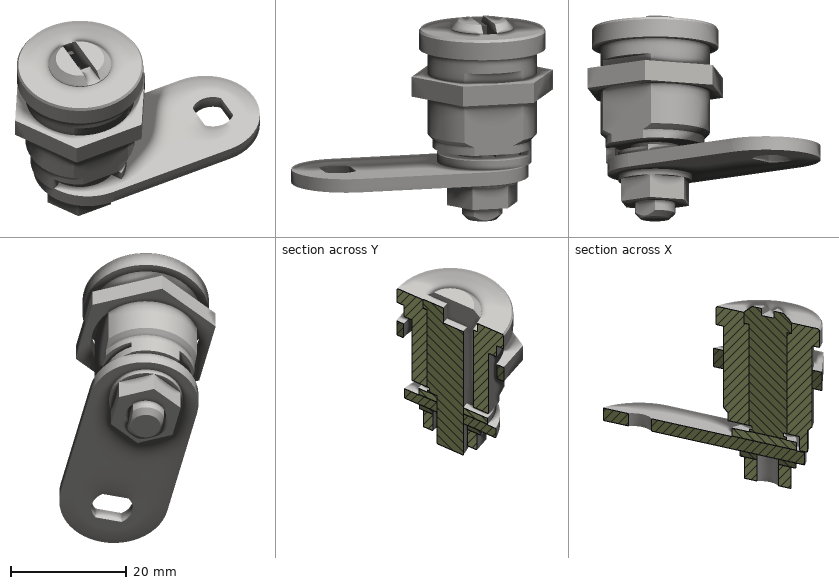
import cadquery as cq
import math


flange_diameter = 22.0
flange_thickness = 3.5
flange_chamfer_width = 0.3
flange_chamfer_height = 0.4
barrel_diameter = 19.0
barrel_flats_width = 15.8
flats_top_z = -2.7
barrel_chamfer = 0.9
barrel_bottom_z = -15.05
skirt_bottom_z = -17.4
skirt_radius = barrel_diameter / 2 - barrel_chamfer
tab_bottom_z = -20.05
tab_inner_radius = 7.0
tab_angle = 60.0

plug_top_z = 4.95
plug_top_radius = 4.2
cone_base_z = 3.65
head_bottom_z = 1.5
head_radius = 5.5
plug_radius = 4.7
neck_radius = 4.3
neck_bottom_z = -18.0
keyway_width = 2.48
keyway_inner_x = -2.7
keyway_step_x = 1.35
keyway_middle_z = 0.0
stud_diameter = 7.0
stud_flats_width = 5.5
stud_chamfer = 0.95

stop_disc_thickness = 1.6
stop_disc_radius = 8.35
stop_disc_offset = 1.0
stop_disc_relief_radius = 6.5
cam_thickness = 2.4
washer_thickness = 1.0
washer_diameter = 12.8
stud_nut_height = 3.95
stud_nut_width = flange_diameter / 2

mounting_nut_width = flange_diameter
mounting_nut_top_z = -4.45
mounting_nut_height = 3.5

cam_top_z = -20.15
cam_width = barrel_diameter
cam_near_center_y = 1.5
cam_tip_y = 34.0
cam_hole_y = 26.0
cam_hole_diameter = 7.2
cam_hole_flats_width = stud_flats_width

overall_height = 35.1
stud_bottom_z = plug_top_z - overall_height
shoulder_z = cam_top_z + stop_disc_thickness
washer_top_z = cam_top_z - cam_thickness
stud_nut_top_z = washer_top_z - washer_thickness
quarter_turn = 90.0
hexagon_sides = 6
cam_travel = quarter_turn
tab_start_angle = -quarter_turn - tab_angle / 2
tab_end_angle = tab_start_angle + tab_angle
relief_end_angle = tab_end_angle + cam_travel


def cylinder(radius, top_z, bottom_z):
    return cq.Workplane("XY", origin=(0, 0, bottom_z)).circle(radius).extrude(top_z - bottom_z)


def box(x_min, x_max, y_min, y_max, z_min, z_max):
    size = (x_max - x_min, y_max - y_min, z_max - z_min)
    return cq.Workplane("XY", origin=(x_min, y_min, z_min)).box(*size, centered=False)


def double_d(diameter, width, top_z, bottom_z):
    """Cylinder with two flats that face -X and +X."""
    slab = box(-width / 2, width / 2, -diameter, diameter, bottom_z, top_z)
    return cylinder(diameter / 2, top_z, bottom_z).intersect(slab)


def hexagon(width, top_z, height):
    """Hexagonal prism with two sides that face -X and +X."""
    corner_diameter = width / math.cos(math.radians(180 / hexagon_sides))
    bottom = cq.Workplane("XY", origin=(0, 0, top_z - height)).transformed(rotate=(0, 0, quarter_turn))
    return bottom.polygon(hexagon_sides, corner_diameter).extrude(height)


def polar(radius, angle):
    return radius * math.cos(math.radians(angle)), radius * math.sin(math.radians(angle))


def ring_sector(inner_radius, outer_radius, start_angle, end_angle, top_z, bottom_z):
    middle_angle = (start_angle + end_angle) / 2
    return (
        cq.Workplane("XY", origin=(0, 0, bottom_z))
        .moveTo(*polar(inner_radius, start_angle))
        .lineTo(*polar(outer_radius, start_angle))
        .threePointArc(polar(outer_radius, middle_angle), polar(outer_radius, end_angle))
        .lineTo(*polar(inner_radius, end_angle))
        .threePointArc(polar(inner_radius, middle_angle), polar(inner_radius, start_angle))
        .close()
        .extrude(top_z - bottom_z)
    )


def revolve_profile(points):
    """Revolve a half section of (radius, z) points about the Z axis."""
    return cq.Workplane("XZ").polyline(points).close().revolve(360, (0, 0, 0), (0, 1, 0))


def make_housing():
    flange_radius = flange_diameter / 2
    barrel_radius = barrel_diameter / 2
    shell = revolve_profile([
        (0, flange_thickness),
        (flange_radius - flange_chamfer_width, flange_thickness),
        (flange_radius, flange_thickness - flange_chamfer_height),
        (flange_radius, 0),
        (barrel_radius, 0),
        (barrel_radius, barrel_bottom_z),
        (skirt_radius, barrel_bottom_z - barrel_chamfer),
        (skirt_radius, tab_bottom_z),
        (0, tab_bottom_z),
    ])
    for side in (-1, 1):
        x_range = sorted((side * barrel_flats_width / 2, side * flange_diameter))
        shell = shell.cut(box(*x_range, -flange_diameter, flange_diameter, tab_bottom_z, flats_top_z))
    beside_tab = ring_sector(
        tab_inner_radius, flange_radius, tab_end_angle, tab_start_angle + 360, skirt_bottom_z, tab_bottom_z
    )
    inside_tab = cylinder(tab_inner_radius, skirt_bottom_z, tab_bottom_z)
    shell = shell.cut(beside_tab).cut(inside_tab)
    bore = cylinder(plug_radius, flange_thickness, skirt_bottom_z)
    head_recess = cylinder(head_radius, flange_thickness, head_bottom_z)
    return shell.cut(bore).cut(head_recess)


def make_plug():
    stud_radius = stud_diameter / 2
    barrel = revolve_profile([
        (0, plug_top_z),
        (plug_top_radius, plug_top_z),
        (head_radius, cone_base_z),
        (head_radius, head_bottom_z),
        (plug_radius, head_bottom_z),
        (plug_radius, skirt_bottom_z),
        (neck_radius, skirt_bottom_z),
        (neck_radius, neck_bottom_z),
        (plug_radius, neck_bottom_z),
        (plug_radius, shoulder_z),
        (0, shoulder_z),
    ])
    stud = double_d(stud_diameter, stud_flats_width, shoulder_z, stud_bottom_z)
    stud_envelope = revolve_profile([
        (0, shoulder_z),
        (stud_radius, shoulder_z),
        (stud_radius, stud_bottom_z + stud_chamfer),
        (stud_radius - stud_chamfer, stud_bottom_z),
        (0, stud_bottom_z),
    ])
    keyway_steps = [
        (keyway_step_x, head_radius, cone_base_z),
        (keyway_inner_x, keyway_step_x, keyway_middle_z),
        (-head_radius, keyway_inner_x, shoulder_z),
    ]
    for x_min, x_max, floor_z in keyway_steps:
        barrel = barrel.cut(box(x_min, x_max, -keyway_width / 2, keyway_width / 2, floor_z, plug_top_z))
    return barrel.union(stud.intersect(stud_envelope))


def make_mounting_nut():
    blank = hexagon(mounting_nut_width, mounting_nut_top_z, mounting_nut_height)
    hole = cylinder(barrel_diameter / 2, mounting_nut_top_z, mounting_nut_top_z - mounting_nut_height)
    return blank.cut(hole)


def make_stop_disc():
    """Eccentric disc, relieved so that the housing tab stops it after the cam travel."""
    relief_middle_angle = (tab_start_angle + relief_end_angle) / 2
    offset = (*polar(stop_disc_offset, relief_middle_angle), 0)
    disc = cylinder(stop_disc_radius, shoulder_z, cam_top_z).translate(offset)
    relief = ring_sector(
        stop_disc_relief_radius,
        stop_disc_radius + 2 * stop_disc_offset,
        tab_start_angle,
        relief_end_angle,
        shoulder_z,
        cam_top_z,
    )
    stud_hole = double_d(stud_diameter, stud_flats_width, shoulder_z, cam_top_z)
    return disc.cut(relief).cut(stud_hole)


def make_cam():
    end_radius = cam_width / 2
    far_center_y = cam_tip_y - end_radius
    plate = (
        cq.Workplane("XY", origin=(0, 0, washer_top_z))
        .moveTo(-end_radius, cam_near_center_y)
        .lineTo(-end_radius, far_center_y)
        .threePointArc((0, cam_tip_y), (end_radius, far_center_y))
        .lineTo(end_radius, cam_near_center_y)
        .threePointArc((0, cam_near_center_y - end_radius), (-end_radius, cam_near_center_y))
        .close()
        .extrude(cam_thickness)
    )
    stud_hole = double_d(stud_diameter, stud_flats_width, cam_top_z, washer_top_z)
    end_hole = double_d(cam_hole_diameter, cam_hole_flats_width, cam_top_z, washer_top_z)
    end_hole = end_hole.rotate((0, 0, 0), (0, 0, 1), quarter_turn).translate((0, cam_hole_y, 0))
    return plate.cut(stud_hole).cut(end_hole)


def make_washer():
    blank = cylinder(washer_diameter / 2, washer_top_z, stud_nut_top_z)
    return blank.cut(cylinder(stud_diameter / 2, washer_top_z, stud_nut_top_z))


def make_stud_nut():
    blank = hexagon(stud_nut_width, stud_nut_top_z, stud_nut_height)
    return blank.cut(cylinder(stud_diameter / 2, stud_nut_top_z, stud_nut_top_z - stud_nut_height))


housing = make_housing()
plug = make_plug()
mounting_nut = make_mounting_nut()
stop_disc = make_stop_disc()
cam = make_cam()
washer = make_washer()
stud_nut = make_stud_nut()

result = cq.Compound.makeCompound([
    housing.val(),
    plug.val(),
    mounting_nut.val(),
    stop_disc.val(),
    cam.val(),
    washer.val(),
    stud_nut.val(),
])